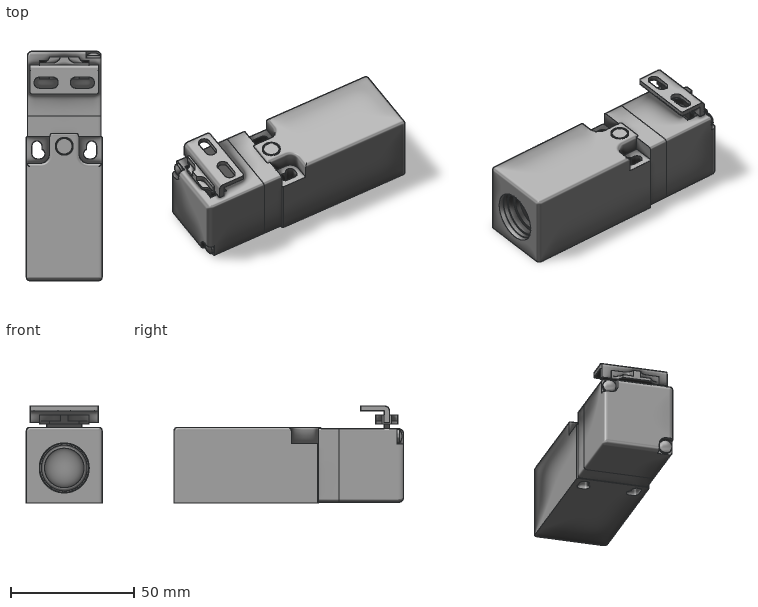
import cadquery as cq
import math


TOTAL_LENGTH = 93.0
TOTAL_HEIGHT = 39.3

HOUSING_WIDTH = 30.8
HOUSING_HEIGHT = 30.7
HOUSING_END = 58.5
HOUSING_EDGE_RADIUS = 1.5

HEAD_WIDTH = 29.9
HEAD_BOTTOM = 0.3
HEAD_TOP = 30.1
HEAD_START = 66.8
HEAD_EDGE_RADIUS = 1.2
HEAD_REAR_RADIUS = 2.0
HEAD_MIDDLE = (HEAD_BOTTOM + HEAD_TOP) / 2
REAR_CHAMFER = (HOUSING_WIDTH - HEAD_WIDTH) / 2

NOTCH_FLOOR = 24.2
NOTCH_FRONT = 47.5
NOTCH_CORNER_RADIUS = 3.9
TAB_WIDTH = 12.0
TAB_END = 60.1
TAB_CORNER_RADIUS = 0.9

KEYHOLE_WIDTH = 4.0
KEYHOLE_X = 11.1
KEYHOLE_INNER_X = 9.9
KEYHOLE_FRONT_Y = 51.4
KEYHOLE_REAR_Y = 54.6

RING_Y = 54.5
RING_OUTER_RADIUS = 3.6
RING_INNER_RADIUS = 3.2
RING_DEPTH = 0.5

ENTRY_Z = 14.2
ENTRY_STEPS = [(10.1, 2.1), (9.9, 4.1), (9.3, 6.8), (8.0, 9.0)]

POCKET_SIZE = 6.2
POCKET_DEPTH = 2.7
SCREW_RADIUS = 2.8
SCREW_RIM_HEIGHT = 1.0
SCREW_HEIGHT = 2.0

TROUGH_LENGTH = 20.1
TROUGH_RADIUS = 3.7
TROUGH_Y = 85.5

KEY_WIDTH = 27.7
KEY_FRONT = 75.6
KEY_REAR = 87.3
KEY_FLANGE_THICKNESS = 1.95
KEY_WEB_THICKNESS = 2.2
KEY_BEND_RADIUS = 1.95
KEY_CORNER_RADIUS = 0.9
KEY_WEB_BOTTOM = 32.55
KEY_TONGUE_WIDTH = 14.3
KEY_TONGUE_BOTTOM = 27.0
KEY_SLOT_LENGTH = 9.8
KEY_SLOT_WIDTH = 4.6
KEY_SLOT_X = 7.35
KEY_SLOT_Y = 80.3
KEY_WEB_Y = KEY_REAR - KEY_WEB_THICKNESS / 2

GUIDE_WIDTH = 20.0
GUIDE_BAR_THICKNESS = 3.9
GUIDE_DEPTH = 9.0
GUIDE_BOTTOM = 32.0
GUIDE_STEP = 33.2
GUIDE_TOP = 35.7
GUIDE_ARC_RADIUS = 3.5
UPPER_NOSE_ARC_X = 4.9
LOWER_NOSE_ARC_X = 9.3


def box_between(x_min, x_max, y_min, y_max, z_min, z_max):
    return (
        cq.Workplane("XY")
        .box(x_max - x_min, y_max - y_min, z_max - z_min, centered=False)
        .translate((x_min, y_min, z_min))
    )


def centred_box(width, y_min, y_max, z_min, z_max):
    return box_between(-width / 2, width / 2, y_min, y_max, z_min, z_max)


def make_notch(side):
    """Corner notch beside the tab, with a rounded inner corner."""
    tab_side = TAB_WIDTH / 2
    notch = box_between(
        tab_side, HOUSING_WIDTH, NOTCH_FRONT, TAB_END, NOTCH_FLOOR, TOTAL_HEIGHT
    )
    notch = notch.edges("|Z and <X and <Y").fillet(NOTCH_CORNER_RADIUS)
    return notch if side > 0 else notch.mirror("YZ")


def make_keyhole(side):
    """Through hole: a slot along Y whose front end is widened towards the middle."""
    outer_x = side * KEYHOLE_X
    inner_x = side * KEYHOLE_INNER_X
    long_leg = (
        cq.Workplane("XY")
        .center(outer_x, (KEYHOLE_FRONT_Y + KEYHOLE_REAR_Y) / 2)
        .slot2D(KEYHOLE_REAR_Y - KEYHOLE_FRONT_Y + KEYHOLE_WIDTH, KEYHOLE_WIDTH, 90)
        .extrude(HOUSING_HEIGHT)
    )
    short_leg = (
        cq.Workplane("XY")
        .center((outer_x + inner_x) / 2, KEYHOLE_FRONT_Y)
        .slot2D(KEYHOLE_X - KEYHOLE_INNER_X + KEYHOLE_WIDTH, KEYHOLE_WIDTH)
        .extrude(HOUSING_HEIGHT)
    )
    return long_leg.union(short_leg)


def make_cable_entry():
    """Blind bore narrowing in steps from the front face."""
    entry = cq.Workplane("XY")
    for radius, depth in ENTRY_STEPS:
        step = cq.Workplane("XZ").center(0, ENTRY_Z).circle(radius).extrude(-depth)
        entry = entry.add(step)
    return entry.combine()


def make_ring_groove():
    return (
        cq.Workplane("XY", origin=(0, RING_Y, HOUSING_HEIGHT - RING_DEPTH))
        .circle(RING_OUTER_RADIUS)
        .circle(RING_INNER_RADIUS)
        .extrude(RING_DEPTH)
    )


def make_housing():
    block = centred_box(HOUSING_WIDTH, 0, HOUSING_END, 0, HOUSING_HEIGHT)
    block = block.edges("|Z and >Y").chamfer(REAR_CHAMFER)
    tab = centred_box(TAB_WIDTH, NOTCH_FRONT, TAB_END, NOTCH_FLOOR, HOUSING_HEIGHT)
    tab = tab.edges("|Z and >Y").fillet(TAB_CORNER_RADIUS)
    block = block.union(tab)
    for side in (-1, 1):
        block = block.cut(make_notch(side))
    block = block.edges("|Z and <Y").fillet(HOUSING_EDGE_RADIUS)
    block = block.faces(">Z").edges().fillet(HOUSING_EDGE_RADIUS)

    neck = centred_box(HEAD_WIDTH, HOUSING_END, HEAD_START, HEAD_BOTTOM, HEAD_TOP)
    neck = neck.edges("|Y").fillet(HEAD_EDGE_RADIUS)
    housing = block.union(neck)
    for side in (-1, 1):
        housing = housing.cut(make_keyhole(side))
    return housing.cut(make_cable_entry()).cut(make_ring_groove())


def make_screw_pocket():
    """Pocket in the upper +X rear corner, rounded around the screw."""
    pocket = box_between(
        HEAD_WIDTH / 2 - POCKET_SIZE,
        HEAD_WIDTH / 2,
        TOTAL_LENGTH - POCKET_DEPTH,
        TOTAL_LENGTH,
        HEAD_TOP - POCKET_SIZE,
        HEAD_TOP,
    )
    return pocket.edges("|Y and <X and <Z").fillet(POCKET_SIZE / 2)


def make_screw_head():
    """Domed screw head standing in the upper +X pocket."""
    dome_rise = SCREW_HEIGHT - SCREW_RIM_HEIGHT
    dome_radius = (SCREW_RADIUS**2 + dome_rise**2) / (2 * dome_rise)
    half_angle = math.asin(SCREW_RADIUS / dome_radius) / 2
    dome_middle = (
        dome_radius * math.sin(half_angle),
        SCREW_HEIGHT - dome_radius * (1 - math.cos(half_angle)),
    )
    screw = (
        cq.Workplane("XY")
        .lineTo(SCREW_RADIUS, 0)
        .lineTo(SCREW_RADIUS, SCREW_RIM_HEIGHT)
        .threePointArc(dome_middle, (0, SCREW_HEIGHT))
        .close()
        .revolve(360, (0, 0, 0), (0, 1, 0))
    )
    return screw.translate(
        (
            HEAD_WIDTH / 2 - POCKET_SIZE / 2,
            TOTAL_LENGTH - POCKET_DEPTH,
            HEAD_TOP - POCKET_SIZE / 2,
        )
    )


def to_corner(shape, turn):
    """Turn a corner feature about the long axis of the head."""
    return shape.rotate((0, 0, HEAD_MIDDLE), (0, 1, HEAD_MIDDLE), turn)


def make_trough():
    return (
        cq.Workplane("YZ", origin=(-TROUGH_LENGTH / 2, TROUGH_Y, HEAD_TOP))
        .circle(TROUGH_RADIUS)
        .extrude(TROUGH_LENGTH)
    )


def make_head():
    head = centred_box(HEAD_WIDTH, HEAD_START, TOTAL_LENGTH, HEAD_BOTTOM, HEAD_TOP)
    head = head.faces(">Y").edges().fillet(HEAD_REAR_RADIUS)
    head = head.edges("|Y").fillet(HEAD_EDGE_RADIUS)
    for turn in (0, 180):
        head = head.cut(to_corner(make_screw_pocket(), turn))
        head = head.union(to_corner(make_screw_head(), turn))
    return head.cut(make_trough())


def make_key_plate():
    """L-shaped plate with two oblong slots and a narrow tongue at the bottom."""
    web_front = KEY_REAR - KEY_WEB_THICKNESS
    flange_bottom = TOTAL_HEIGHT - KEY_FLANGE_THICKNESS
    flange = centred_box(KEY_WIDTH, KEY_FRONT, KEY_REAR, flange_bottom, TOTAL_HEIGHT)
    flange = flange.edges("|Z and <Y").fillet(KEY_CORNER_RADIUS)
    web = centred_box(KEY_WIDTH, web_front, KEY_REAR, KEY_WEB_BOTTOM, TOTAL_HEIGHT)
    tongue = centred_box(
        KEY_TONGUE_WIDTH, web_front, KEY_REAR, KEY_TONGUE_BOTTOM, KEY_WEB_BOTTOM
    )
    plate = flange.union(web).union(tongue)
    plate = plate.edges("|X and >Y and >Z").fillet(KEY_BEND_RADIUS)
    slots = (
        cq.Workplane("XY", origin=(0, KEY_SLOT_Y, flange_bottom))
        .pushPoints([(-KEY_SLOT_X, 0), (KEY_SLOT_X, 0)])
        .slot2D(KEY_SLOT_LENGTH, KEY_SLOT_WIDTH)
        .extrude(KEY_FLANGE_THICKNESS)
    )
    return plate.cut(slots)


def make_guide_layer(arc_x, z_min, z_max):
    """Bar with a nose on each side; concave arcs lead from the bar to the noses."""
    height = z_max - z_min
    bar_half = GUIDE_BAR_THICKNESS / 2
    nose_half = GUIDE_DEPTH / 2
    arc_y = bar_half + GUIDE_ARC_RADIUS
    layer = centred_box(GUIDE_WIDTH, -bar_half, bar_half, z_min, z_max)
    noses = centred_box(2 * arc_x, -nose_half, nose_half, z_min, z_max)
    hollows = (
        cq.Workplane("XY", origin=(0, 0, z_min))
        .rect(2 * arc_x, 2 * arc_y, forConstruction=True)
        .vertices()
        .circle(GUIDE_ARC_RADIUS)
        .extrude(height)
    )
    return layer.union(noses.cut(hollows)).translate((0, KEY_WEB_Y, 0))


def make_key():
    lower = make_guide_layer(LOWER_NOSE_ARC_X, GUIDE_BOTTOM, GUIDE_STEP)
    upper = make_guide_layer(UPPER_NOSE_ARC_X, GUIDE_STEP, GUIDE_TOP)
    return make_key_plate().union(lower).union(upper)


housing = make_housing()
head = make_head()
key = make_key()

result = cq.Compound.makeCompound([housing.val(), head.val(), key.val()])